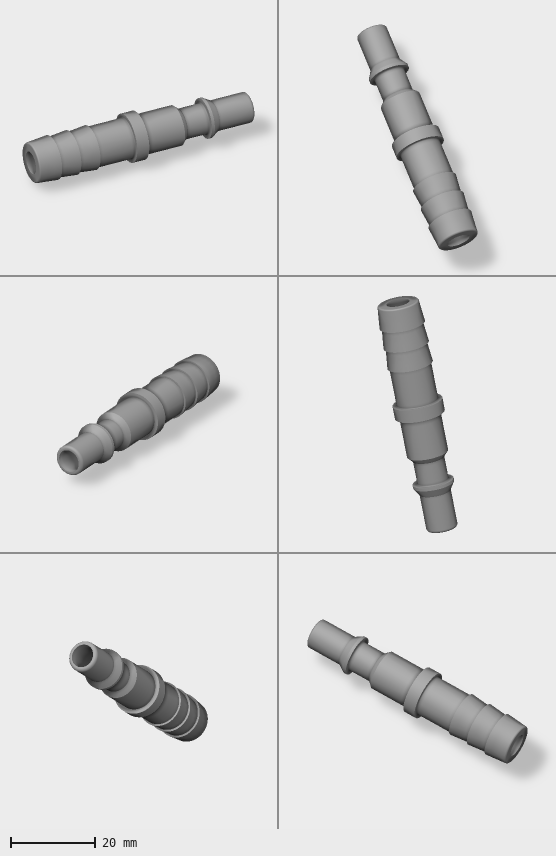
import cadquery as cq

length = 57.0
bore_radius = 2.8

tip_radius = 3.75
tip_rounding = 0.7
body_radius = 4.95
ridge_start = 9.25
ridge_crest = 11.2
ridge_end = 11.9
ridge_root_fillet = 0.35
shoulder_start = 17.65
shoulder_end = 19.0

collar_diameter = 12.0
collar_radius = collar_diameter / 2
collar_start = 28.85
collar_end = 32.0
collar_root_fillet = 0.2

tail_radius = 5.0
barb_radius = 5.5
barb_root_radius = 4.95
barb_start = 41.4
barb_pitch = 5.0
barb_count = 3
tail_end_rounding = 0.4


def frustum(start, end, start_radius, end_radius):
    """Solid of revolution about Y between two distances from the tip."""
    tip_y = length / 2
    return (
        cq.Workplane("XY")
        .moveTo(0, tip_y - start)
        .lineTo(start_radius, tip_y - start)
        .lineTo(end_radius, tip_y - end)
        .lineTo(0, tip_y - end)
        .close()
        .revolve(360, (0, 0, 0), (0, 1, 0))
    )


def root_fillet(start, shaft_radius, fillet_radius):
    """Flared ring with a concave arc, joining a face to the shaft behind it."""
    face_y = length / 2 - start
    foot_y = face_y - fillet_radius
    outer_radius = shaft_radius + fillet_radius
    return (
        cq.Workplane("XY")
        .moveTo(0, face_y)
        .lineTo(outer_radius, face_y)
        .radiusArc((shaft_radius, foot_y), -fillet_radius)
        .lineTo(0, foot_y)
        .close()
        .revolve(360, (0, 0, 0), (0, 1, 0))
    )


plug = frustum(0, shoulder_start, tip_radius, tip_radius).faces(">Y").edges().fillet(tip_rounding)
plug = plug.union(frustum(ridge_start, ridge_crest, tip_radius, body_radius))
plug = plug.union(frustum(ridge_crest, ridge_end, body_radius, body_radius))
plug = plug.union(root_fillet(ridge_end, tip_radius, ridge_root_fillet))
plug = plug.union(frustum(shoulder_start, shoulder_end, tip_radius, body_radius))
plug = plug.union(frustum(shoulder_end, collar_start, body_radius, body_radius))

collar = frustum(collar_start, collar_end, collar_radius, collar_radius)
collar = collar.union(root_fillet(collar_end, tail_radius, collar_root_fillet))

tail = frustum(collar_end, barb_start, tail_radius, tail_radius)
for barb in range(barb_count):
    start = barb_start + barb * barb_pitch
    last = barb == barb_count - 1
    end = length if last else start + barb_pitch
    tail = tail.union(frustum(start, end, barb_radius, barb_root_radius))
tail = tail.faces("<Y").edges().fillet(tail_end_rounding)

bore = frustum(0, length, bore_radius, bore_radius)

result = plug.union(collar).union(tail).cut(bore)